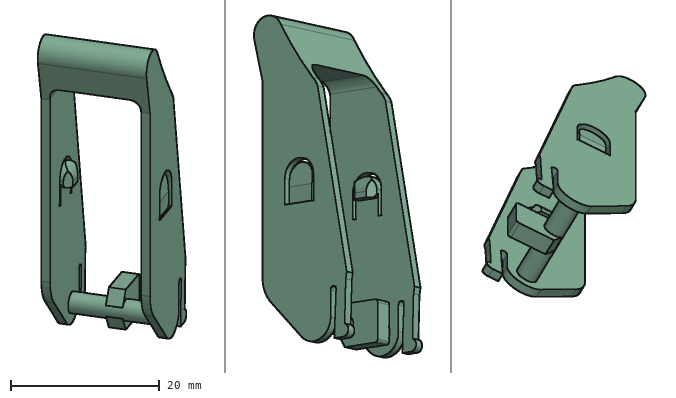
import cadquery as cq
import math

width = 15.5
plate_thickness = 1.28
inner_width = width - 2 * plate_thickness

head_radius = 2.45
head_y = head_radius
head_z = 45.6 - head_radius
head_lean = math.radians(13.9)
head_back_angle = math.radians(25)
front_y = 1.5
front_round = 5.0
foot_radius = 3.0
foot_y = 10.5
foot_z = foot_radius
slot_front_y = foot_y + foot_radius
slot_width = 0.95
slot_top_z = 7.15
leg_foot_y = 14.15
catch_radius = 0.9
catch_y = 15.7
catch_z = catch_radius
catch_top = (15.95, catch_z + math.sqrt(catch_radius**2 - (15.95 - catch_y)**2))
back_low = (16.15, 7.9)
back_knee = (16.3, 8.85)
shoulder_low = (11.2, 34.88)
shoulder_mid = (10.85, 35.55)
shoulder_high = (10.35, 36.15)
neck_mid = (7.4, 40.05)

window_top_z = 38.52
window_radius = 1.5

rod_radius = 1.5
rod_z = 3.1
hook_width = 2.4
hook_back_y = 16.28
hook_half_height = 2.95
hook_round = 0.45
hook_rod_y = 9.2
hook_rod_half_height = 0.8

tab_y = 8.0
tab_bottom_z = 19.35
tab_arc_z = 22.95
tab_radius = 2.0
tab_gap = 0.5
tab_step = 0.27
tab_recess = 0.55
bump_bottom_z = 21.75
bump_depth = 1.35
bump_side_depth = 0.35
bump_corner_radius = 0.55
bump_round_z = 22.6


def polar(y, z, radius, angle):
    return (y + radius * math.cos(angle), z + radius * math.sin(angle))


def side_body():
    """Side outline, including the slot and sprung catch leg, across the full width."""
    diagonal = math.radians(225)
    head_front = polar(head_y, head_z, head_radius, math.pi + head_lean)
    head_back = polar(head_y, head_z, head_radius, head_back_angle)
    front_top = (front_y, head_front[1] - (front_y - head_front[0]) / math.tan(head_lean))
    foot_line_sum = foot_y + foot_z - foot_radius * math.sqrt(2)
    round_y = front_y + front_round
    round_z = foot_line_sum + front_round * math.sqrt(2) - round_y
    slot_radius = slot_width / 2
    slot_arc_z = slot_top_z - slot_radius
    slot_back_y = slot_front_y + slot_width
    return (
        cq.Workplane("YZ")
        .moveTo(*head_front)
        .threePointArc((head_y, head_z + head_radius), head_back)
        .threePointArc(neck_mid, shoulder_high)
        .threePointArc(shoulder_mid, shoulder_low)
        .lineTo(*back_knee)
        .lineTo(*back_low)
        .lineTo(*catch_top)
        .threePointArc((catch_y + catch_radius, catch_z), (catch_y, catch_z - catch_radius))
        .lineTo(leg_foot_y, 0)
        .lineTo(slot_back_y, slot_arc_z)
        .threePointArc((slot_front_y + slot_radius, slot_top_z), (slot_front_y, slot_arc_z))
        .lineTo(slot_front_y, foot_z)
        .threePointArc((foot_y, 0), polar(foot_y, foot_z, foot_radius, diagonal))
        .lineTo(*polar(round_y, round_z, front_round, diagonal))
        .threePointArc(polar(round_y, round_z, front_round, math.radians(202.5)), (front_y, round_z))
        .lineTo(*front_top)
        .close()
        .extrude(width / 2, both=True)
    )


def window():
    """Front-to-back opening with rounded upper corners."""
    margin = 4.55
    return (
        cq.Workplane("XY")
        .box(inner_width, hook_back_y + 2 * margin, window_top_z + margin, centered=(True, False, False))
        .translate((0, -margin, -margin))
        .edges("|Y and >Z")
        .fillet(window_radius)
    )


def rod():
    return (
        cq.Workplane("YZ")
        .center(foot_y, rod_z)
        .circle(rod_radius)
        .extrude(inner_width / 2, both=True)
    )


def hook():
    """Solid latch block, narrowing to the front of the rod."""
    return (
        cq.Workplane("YZ")
        .center(0, rod_z)
        .moveTo(hook_rod_y, hook_rod_half_height)
        .lineTo(foot_y, hook_half_height)
        .lineTo(hook_back_y, hook_half_height)
        .lineTo(hook_back_y, -hook_half_height)
        .lineTo(foot_y, -hook_half_height)
        .lineTo(hook_rod_y, -hook_rod_half_height)
        .close()
        .extrude(hook_width / 2, both=True)
        .edges("|X and >Y")
        .fillet(hook_round)
    )


def arched_prism(x_start, length, radius, bottom_z):
    """Straight-sided prism with a round top, extruded along +X."""
    return (
        cq.Workplane("YZ", origin=(x_start, 0, 0))
        .moveTo(tab_y - radius, bottom_z)
        .lineTo(tab_y - radius, tab_arc_z)
        .threePointArc((tab_y, tab_arc_z + radius), (tab_y + radius, tab_arc_z))
        .lineTo(tab_y + radius, bottom_z)
        .close()
        .extrude(length)
    )


def left_tab():
    """Arched tongue with a stepped, sloped outer face and a bump rounded in toward the opening."""
    outer_x = -width / 2
    inner_x = -inner_width / 2
    tip_x = inner_x + bump_depth
    tab_top_z = tab_arc_z + tab_radius

    tongue = arched_prism(outer_x + tab_step, plate_thickness - tab_step, tab_radius, tab_bottom_z)
    outer_slope = (
        cq.Workplane("XZ", origin=(0, tab_y, 0))
        .moveTo(outer_x + tab_step, bump_bottom_z)
        .lineTo(outer_x + tab_step, tab_top_z)
        .lineTo(outer_x + tab_recess, tab_top_z)
        .close()
        .extrude(tab_radius, both=True)
    )

    rise = tab_top_z - bump_round_z
    round_radius = (bump_depth**2 + rise**2) / (2 * bump_depth)
    halfway = math.asin(rise / round_radius) / 2
    round_mid = polar(tip_x - round_radius, bump_round_z, round_radius, halfway)
    side_profile = (
        cq.Workplane("XZ", origin=(0, tab_y, 0))
        .moveTo(inner_x, bump_bottom_z)
        .lineTo(inner_x, tab_top_z)
        .threePointArc(round_mid, (tip_x, bump_round_z))
        .lineTo(tip_x, bump_bottom_z)
        .close()
        .extrude(tab_radius, both=True)
    )
    tip_half_width = tab_radius - (bump_depth - bump_side_depth)
    plan_profile = (
        cq.Workplane("XY", origin=(0, tab_y, bump_bottom_z))
        .moveTo(inner_x, -tab_radius)
        .lineTo(inner_x + bump_side_depth, -tab_radius)
        .lineTo(tip_x, -tip_half_width)
        .lineTo(tip_x, tip_half_width)
        .lineTo(inner_x + bump_side_depth, tab_radius)
        .lineTo(inner_x, tab_radius)
        .close()
        .extrude(tab_top_z - bump_bottom_z)
    )
    bump = (
        arched_prism(inner_x, bump_depth, tab_radius, bump_bottom_z)
        .edges("|X and <Z")
        .fillet(bump_corner_radius)
        .intersect(side_profile)
        .intersect(plan_profile)
    )
    return tongue.cut(outer_slope).union(bump)


tab_openings = arched_prism(-width / 2, width, tab_radius + tab_gap, tab_bottom_z)
tab = left_tab()
result = (
    side_body()
    .cut(window())
    .cut(tab_openings)
    .union(rod())
    .union(hook())
    .union(tab)
    .union(tab.mirror("YZ"))
)